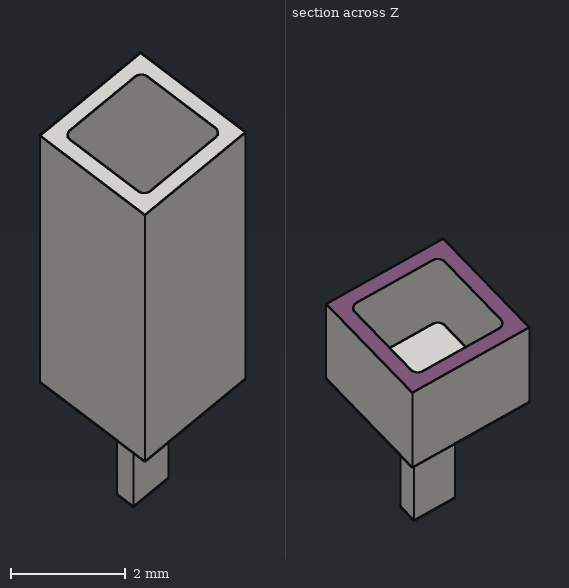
import cadquery as cq

total_height = 10.0
housing_width = 2.54
housing_height = 7.0
pin_length = total_height - housing_height

wall = 0.3
floor_thickness = wall
socket_width = housing_width - 2 * wall
socket_depth = housing_height - floor_thickness
socket_corner_radius = 0.15

pin_thickness = 0.4
pin_width = 0.89


def make_housing():
    """Square tube with a closed floor, standing on top of the pin."""
    block = (
        cq.Workplane("XY", origin=(0, 0, pin_length))
        .rect(housing_width, housing_width)
        .extrude(housing_height)
    )
    socket = (
        cq.Workplane("XY", origin=(0, 0, pin_length + floor_thickness))
        .rect(socket_width, socket_width)
        .extrude(socket_depth)
        .edges("|Z")
        .fillet(socket_corner_radius)
    )
    return block.cut(socket)


def make_pin():
    """Rectangular blade whose top end meets the underside of the housing."""
    return cq.Workplane("XY").rect(pin_thickness, pin_width).extrude(pin_length)


housing = make_housing()
pin = make_pin()

result = cq.Compound.makeCompound([housing.val(), pin.val()])